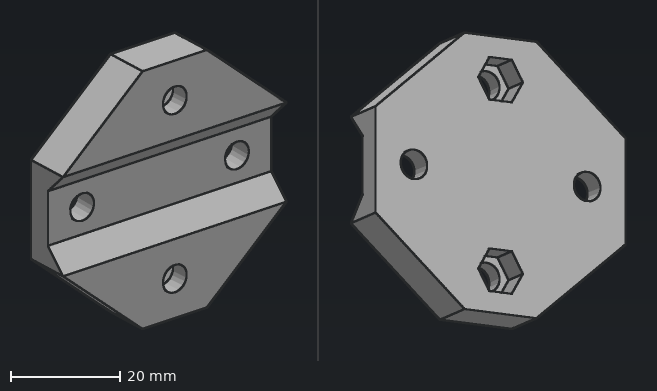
import cadquery as cq
import math

thickness = 9.5
plate_size = 52.0
end_flat_width = 15.0
side_flat_height = 20.0

channel_depth = 4.5
channel_mouth = side_flat_height
channel_floor = channel_mouth - 2 * channel_depth

bolt_circle_radius = 18.0
bolt_hole_diameter = 5.5
nut_across_flats = 8.0
nut_across_corners = nut_across_flats / math.cos(math.pi / 6)
nut_pocket_depth = 5.5

back_x = -thickness / 2
front_x = thickness / 2


def make_plate():
    half = plate_size / 2
    y_flat = end_flat_width / 2
    z_flat = side_flat_height / 2
    outline = [
        (half, -z_flat), (half, z_flat),
        (y_flat, half), (-y_flat, half),
        (-half, z_flat), (-half, -z_flat),
        (-y_flat, -half), (y_flat, -half),
    ]
    return cq.Workplane("YZ", origin=(back_x, 0, 0)).polyline(outline).close().extrude(thickness)


def make_channel():
    floor_x = front_x - channel_depth
    profile = [
        (front_x, -channel_mouth / 2),
        (floor_x, -channel_floor / 2),
        (floor_x, channel_floor / 2),
        (front_x, channel_mouth / 2),
    ]
    return cq.Workplane("XZ").polyline(profile).close().extrude(plate_size / 2, both=True)


def make_bolt_holes():
    return (
        cq.Workplane("YZ", origin=(back_x, 0, 0))
        .polarArray(bolt_circle_radius, 0, 360, 4)
        .circle(bolt_hole_diameter / 2)
        .extrude(thickness)
    )


def make_nut_pockets():
    return (
        cq.Workplane("YZ", origin=(back_x, 0, 0))
        .pushPoints([(0, bolt_circle_radius), (0, -bolt_circle_radius)])
        .polygon(6, nut_across_corners)
        .extrude(nut_pocket_depth)
    )


result = make_plate().cut(make_channel()).cut(make_bolt_holes()).cut(make_nut_pockets())